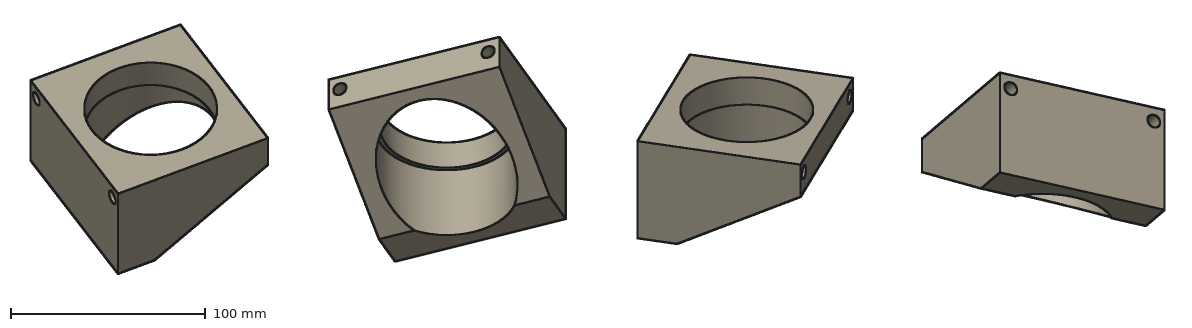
import cadquery as cq

width = 95.25
depth = 87.3
height = 57.15
base_depth = 21.2
back_thickness = 19.05

bore_diameter = 68.2
bore_center_y = 44.5
collar_depth = 16.0
counterbore_diameter = 72.8

bolt_hole_diameter = 7.1
bolt_hole_spacing = 82.7
bolt_hole_drop = 7.8


def wedge_block():
    side_profile = [
        (0, 0),
        (base_depth, 0),
        (depth, height - back_thickness),
        (depth, height),
        (0, height),
    ]
    return cq.Workplane("YZ").polyline(side_profile).close().extrude(width / 2, both=True)


def vertical_bore():
    axis = cq.Workplane("XY").center(0, bore_center_y)
    through_bore = axis.circle(bore_diameter / 2).extrude(height)
    counterbore = axis.circle(counterbore_diameter / 2).extrude(height - collar_depth)
    return through_bore.union(counterbore)


def bolt_holes():
    hole_z = height - bolt_hole_drop
    centers = [(side * bolt_hole_spacing / 2, hole_z) for side in (-1, 1)]
    return cq.Workplane("XZ").pushPoints(centers).circle(bolt_hole_diameter / 2).extrude(-depth)


result = wedge_block().cut(vertical_bore()).cut(bolt_holes())